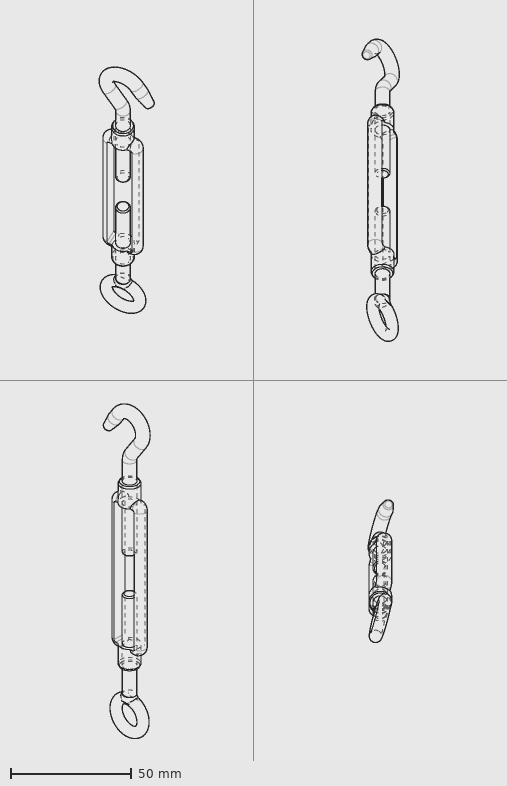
import cadquery as cq
import math

frame_half_length = 45.1
collar_inner_z = 34.5
collar_radius = 9.5 / 2
collar_chamfer_height = 1.0
collar_chamfer_width = 0.5
bar_radius = 3.2
bar_flat_x = 5.8
bar_bend_radius = 1.0
bar_bend_z = collar_inner_z - bar_bend_radius
bar_bend_x = bar_flat_x - bar_bend_radius

rod_radius = 3.0
rod_end_z = 9.9
rod_chamfer = 0.6

hook_top_z = 81.9
hook_radius = 7.8
neck_bend_radius = 6.1
hook_angle = math.radians(35)
hook_center_z = hook_top_z - hook_radius - rod_radius
tip_straight = 4.2
tip_cone_length = 7.1
tip_radius = 2.1
tip_rounding = 0.6

overall_length = 161.8
eye_bottom_z = hook_top_z - overall_length
eye_outer_diameter = 20.9
eye_wire_radius = 2.6
eye_ring_radius = eye_outer_diameter / 2 - eye_wire_radius
eye_neck_half_depth = 2.8
eye_center_z = eye_bottom_z + eye_outer_diameter / 2
eye_rod_bottom_z = -59.0
eye_neck_height = 3.2
eye_neck_half_width = 6.5


def make_collar():
    """Upper collar with a steep chamfer at its outer end."""
    chamfer_start_z = frame_half_length - collar_chamfer_height
    return (
        cq.Workplane("XZ")
        .moveTo(0, collar_inner_z)
        .lineTo(collar_radius, collar_inner_z)
        .lineTo(collar_radius, chamfer_start_z)
        .lineTo(collar_radius - collar_chamfer_width, frame_half_length)
        .lineTo(0, frame_half_length)
        .close()
        .revolve(360, (0, 0, 0), (0, 1, 0))
    )


def make_bar():
    """Half-round bar on the +X side, bent inwards to the collars at both ends."""
    straight = (
        cq.Workplane("XY", origin=(bar_flat_x, 0, -bar_bend_z))
        .moveTo(0, -bar_radius)
        .threePointArc((bar_radius, 0), (0, bar_radius))
        .close()
        .extrude(2 * bar_bend_z)
    )
    bend = (
        cq.Workplane("XY", origin=(bar_bend_x, 0, bar_bend_z))
        .moveTo(bar_bend_radius, -bar_radius)
        .threePointArc((bar_bend_radius + bar_radius, 0), (bar_bend_radius, bar_radius))
        .close()
        .revolve(90, (0, 0, 0), (0, -1, 0))
    )
    stub = (
        cq.Workplane("YZ", origin=(rod_radius, 0, collar_inner_z))
        .moveTo(-bar_radius, 0)
        .threePointArc((0, bar_radius), (bar_radius, 0))
        .close()
        .extrude(bar_bend_x - rod_radius)
    )
    end = bend.union(stub)
    return straight.union(end).union(end.mirror("XY"))


def make_frame():
    """Two collars joined by two bars, bored to fit the rods."""
    collar = make_collar()
    bar = make_bar()
    bore = (
        cq.Workplane("XY", origin=(0, 0, -frame_half_length))
        .circle(rod_radius)
        .extrude(2 * frame_half_length)
    )
    frame = collar.union(collar.mirror("XY"))
    return frame.union(bar).union(bar.mirror("YZ")).cut(bore)


def make_hook():
    """Upper rod, bent into an open hook with a tapered tip."""
    cos_a = math.cos(hook_angle)
    sin_a = math.sin(hook_angle)
    neck_drop = (hook_radius + neck_bend_radius * (1 - cos_a)) / sin_a
    neck_z = hook_center_z - neck_drop

    def on_neck(angle):
        x = neck_bend_radius * (math.cos(angle) - 1)
        return x, neck_z + neck_bend_radius * math.sin(angle)

    arc_start = (-hook_radius * cos_a, hook_center_z - hook_radius * sin_a)
    arc_middle = (-hook_radius * sin_a, hook_center_z + hook_radius * cos_a)
    arc_end = (hook_radius * cos_a, hook_center_z + hook_radius * sin_a)
    taper_start = (arc_end[0] + tip_straight * sin_a, arc_end[1] - tip_straight * cos_a)
    path = (
        cq.Workplane("XZ")
        .moveTo(0, rod_end_z)
        .lineTo(0, neck_z)
        .threePointArc(on_neck(hook_angle / 2), on_neck(hook_angle))
        .lineTo(*arc_start)
        .threePointArc(arc_middle, arc_end)
        .lineTo(*taper_start)
    )
    wire = cq.Workplane("XY", origin=(0, 0, rod_end_z)).circle(rod_radius).sweep(path)
    wire = wire.faces("<Z").edges().chamfer(rod_chamfer)

    tip_plane = cq.Plane(
        origin=(taper_start[0], 0, taper_start[1]), xDir=(0, 1, 0), normal=(sin_a, 0, -cos_a)
    )
    tip = (
        cq.Workplane(tip_plane)
        .circle(rod_radius)
        .workplane(offset=tip_cone_length)
        .circle(tip_radius)
        .loft()
        .faces(cq.selectors.DirectionMinMaxSelector(tip_plane.zDir))
        .edges()
        .fillet(tip_rounding)
    )
    return wire.union(tip)


def make_eye():
    """Lower rod, with a flared neck leading into a ring."""
    rod = (
        cq.Workplane("XY", origin=(0, 0, eye_rod_bottom_z))
        .circle(rod_radius)
        .extrude(-rod_end_z - eye_rod_bottom_z)
        .faces(">Z").edges().chamfer(rod_chamfer)
    )
    neck = (
        cq.Workplane("XY", origin=(0, 0, eye_rod_bottom_z))
        .ellipse(rod_radius, eye_neck_half_depth)
        .workplane(offset=-eye_neck_height)
        .ellipse(eye_neck_half_width, eye_neck_half_depth)
        .loft()
    )
    ring = cq.Workplane(
        cq.Solid.makeTorus(
            eye_ring_radius, eye_wire_radius, cq.Vector(0, 0, eye_center_z), cq.Vector(0, 1, 0)
        )
    )
    return rod.union(neck).union(ring)


frame = make_frame()
hook = make_hook()
eye = make_eye()

result = cq.Compound.makeCompound([frame.val(), hook.val(), eye.val()])